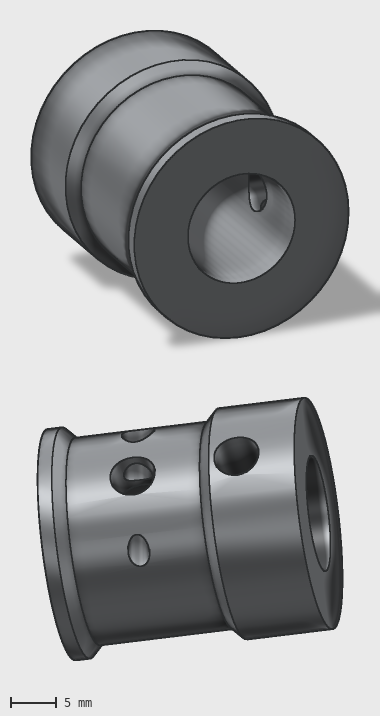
import cadquery as cq

length = 28.57
collar_diameter = 25.4
collar_radius = collar_diameter / 2
neck_radius = 11.4
bore_radius = 6.35
collar_length = 9.5
rim_length = 1.6
bevel = collar_radius - neck_radius

side_hole_radius = 2.49
collar_hole_x = 6.43
neck_hole_x = 18.25

pin_top_y = 8.5
pin_top_z = 7.65
pin_top_radius = 1.8
pin_bottom_y = 8.05
pin_bottom_z = -8.05
pin_bottom_radius = 1.17
pin_overrun = 0.3


def turned_body():
    profile = [
        (0, bore_radius),
        (0, collar_radius),
        (collar_length, collar_radius),
        (collar_length + bevel, neck_radius),
        (length - rim_length - bevel, neck_radius),
        (length - rim_length, collar_radius),
        (length, collar_radius),
        (length, bore_radius),
    ]
    return cq.Workplane("XY").polyline(profile).close().revolve(360, (0, 0, 0), (1, 0, 0))


def side_hole(x):
    start = cq.Vector(x, 0, 0)
    outward = cq.Vector(0, 1, 0)
    return cq.Workplane(cq.Solid.makeCylinder(side_hole_radius, collar_radius, start, outward))


def tapered_cross_hole():
    top = cq.Vector(neck_hole_x, pin_top_y, pin_top_z)
    bottom = cq.Vector(neck_hole_x, pin_bottom_y, pin_bottom_z)
    axis = top - bottom
    extra_radius = (pin_top_radius - pin_bottom_radius) * pin_overrun
    cone = cq.Solid.makeCone(
        pin_bottom_radius - extra_radius,
        pin_top_radius + extra_radius,
        axis.Length * (1 + 2 * pin_overrun),
        bottom - axis * pin_overrun,
        axis,
    )
    return cq.Workplane(cone)


result = (
    turned_body()
    .cut(side_hole(collar_hole_x))
    .cut(side_hole(neck_hole_x))
    .cut(tapered_cross_hole())
)